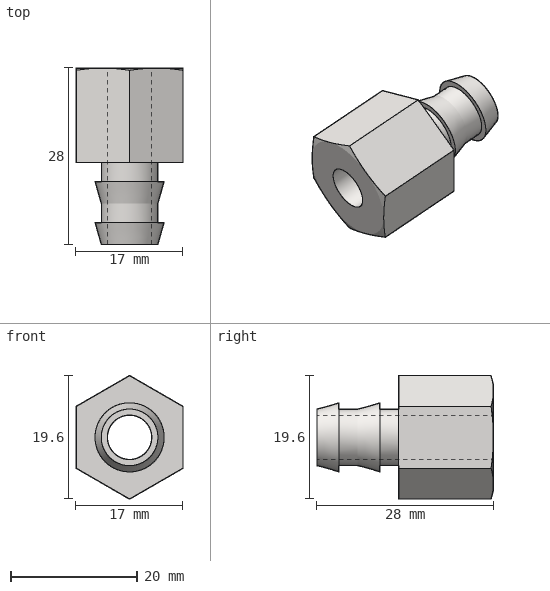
import cadquery as cq
import math

total_length = 28.0
across_flats = 17.0
across_corners = across_flats / math.cos(math.radians(30))

bore_diameter = 7.0
neck_diameter = 9.0
barb_diameter = 10.98
barb_length = 3.5
neck_length = 3.0
barb_count = 2
barb_pitch = barb_length + neck_length
tail_length = barb_count * barb_pitch

chamfer_angle = 15.0
chamfer_end_diameter = across_flats


def hexagon_body():
    """Hexagonal body with corners pointing along Z and a turned far end."""
    length = total_length - tail_length
    hexagon = (
        cq.Workplane("XZ", origin=(0, tail_length, 0))
        .transformed(rotate=(0, 0, 90))
        .polygon(6, across_corners)
        .extrude(-length)
    )
    end_radius = chamfer_end_diameter / 2
    corner_radius = across_corners / 2
    chamfer_depth = (corner_radius - end_radius) * math.tan(math.radians(chamfer_angle))
    turned_envelope = (
        cq.Workplane("XY")
        .moveTo(0, tail_length)
        .lineTo(corner_radius, tail_length)
        .lineTo(corner_radius, total_length - chamfer_depth)
        .lineTo(end_radius, total_length)
        .lineTo(0, total_length)
        .close()
        .revolve(360, (0, 0, 0), (0, 1, 0))
    )
    return hexagon.intersect(turned_envelope)


def hose_tail():
    """Revolved tail: each barb widens away from the tip, then steps down to a neck."""
    neck_radius = neck_diameter / 2
    profile = cq.Workplane("XY").lineTo(neck_radius, 0)
    for barb in range(barb_count):
        barb_start = barb * barb_pitch
        barb_end = barb_start + barb_length
        profile = (
            profile.lineTo(barb_diameter / 2, barb_end)
            .lineTo(neck_radius, barb_end)
            .lineTo(neck_radius, barb_start + barb_pitch)
        )
    return profile.lineTo(0, tail_length).close().revolve(360, (0, 0, 0), (0, 1, 0))


def through_bore():
    return cq.Workplane("XZ").circle(bore_diameter / 2).extrude(-total_length)


result = hexagon_body().union(hose_tail()).cut(through_bore())